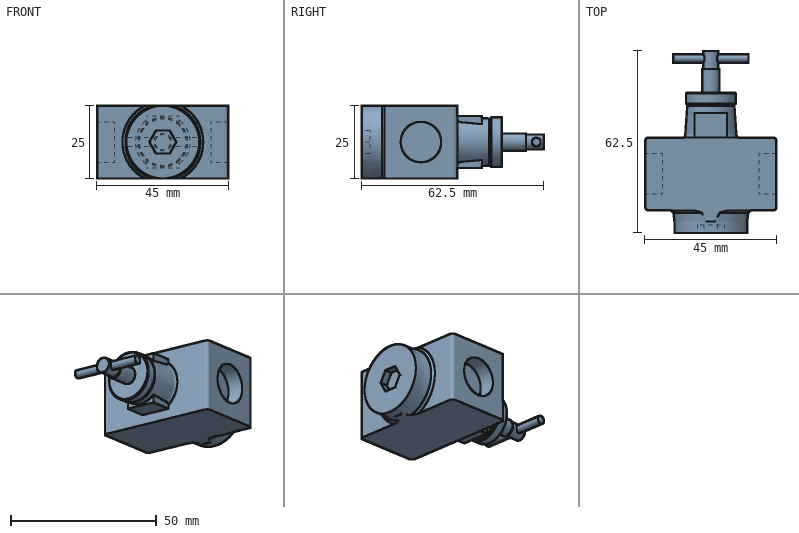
import cadquery as cq
import math

body_length = 45.0
body_width = 25.0
body_height = 25.0
body_corner_radius = 1.2
front_face = -body_width / 2
rear_face = body_width / 2

root_sag = 0.1

port_radius = 6.95
port_depth = 5.95

plug_length = 7.8
plug_rim_length = 4.0
plug_radius = 12.5
plug_base_radius = 12.9
plug_flare_radius = 13.9
plug_flare_length = 0.8
socket_across_flats = 8.0
socket_depth = 2.9

neck_foot_radius = 9.4
neck_foot_length = 0.9
neck_base_radius = 8.8
neck_top_radius = 8.1
neck_length = 10.9
pad_width = 11.1
pad_length = 8.45
pad_height = 17.9

groove_radius = 8.0
collar_start = 11.5
collar_end = 15.4
collar_radius = 8.55
collar_top_chamfer = 0.3
collar_bottom_chamfer = 0.2

stem_radius = 3.0
stem_shoulder = 23.5
stem_tip_radius = 2.6
stem_end = 29.7
handle_length = 25.9
handle_radius = 1.5
handle_offset = 27.05


def make_body():
    block = cq.Workplane("XY").box(body_length, body_width, body_height)
    return block.edges("|Z").fillet(body_corner_radius)


def revolve_about_y(profile):
    return profile.close().revolve(360, (0, 0, 0), (0, 1, 0))


def make_plug():
    flare_foot = (plug_flare_radius, front_face)
    flare_wall = (plug_base_radius, front_face - plug_flare_length)
    plug_end = front_face - plug_length
    profile = cq.Workplane("XY").moveTo(0, front_face).lineTo(*flare_foot)
    profile = (
        profile.sagittaArc(flare_wall, -root_sag)
        .lineTo(plug_radius, plug_end + plug_rim_length)
        .lineTo(plug_radius, plug_end)
        .lineTo(0, plug_end)
    )
    envelope = cq.Workplane("XY").box(body_length, 2 * (plug_length + body_width), body_height)
    return revolve_about_y(profile).intersect(envelope)


def make_socket():
    across_corners = socket_across_flats / math.cos(math.pi / 6)
    return (
        cq.Workplane("XZ", origin=(0, front_face - plug_length, 0))
        .polygon(6, across_corners)
        .extrude(-socket_depth)
    )


def make_neck():
    foot = (neck_foot_radius, rear_face)
    wall = (neck_base_radius, rear_face + neck_foot_length)
    profile = cq.Workplane("XY").moveTo(0, rear_face).lineTo(*foot)
    neck_end = rear_face + neck_length
    profile = (
        profile.sagittaArc(wall, root_sag)
        .lineTo(neck_top_radius, neck_end)
        .lineTo(0, neck_end)
    )
    envelope = cq.Workplane("XY").box(body_length, 2 * neck_end, pad_height)
    return revolve_about_y(profile).intersect(envelope)


def make_pads():
    pad_centre = (0, rear_face + pad_length / 2, 0)
    return cq.Workplane("XY", origin=pad_centre).box(pad_width, pad_length, pad_height)


def rear_cylinder(radius, start, end):
    """Cylinder on the main axis, between two distances behind the body."""
    return cq.Workplane("XZ", origin=(0, rear_face + start, 0)).circle(radius).extrude(start - end)


def make_collar():
    collar = rear_cylinder(collar_radius, collar_start, collar_end)
    collar = collar.faces(">Y").edges().chamfer(collar_top_chamfer)
    return collar.faces("<Y").edges().chamfer(collar_bottom_chamfer)


def make_handle():
    return (
        cq.Workplane("YZ", origin=(-handle_length / 2, rear_face + handle_offset, 0))
        .circle(handle_radius)
        .extrude(handle_length)
    )


def make_port(side):
    return (
        cq.Workplane("YZ", origin=(side * body_length / 2, 0, 0))
        .circle(port_radius)
        .extrude(-side * port_depth)
    )


result = make_body().union(make_plug()).union(make_neck()).union(make_pads())
result = result.union(rear_cylinder(groove_radius, neck_length, collar_start)).union(make_collar())
result = result.union(rear_cylinder(stem_radius, collar_end, stem_shoulder))
result = result.union(rear_cylinder(stem_tip_radius, stem_shoulder, stem_end)).union(make_handle())
result = result.cut(make_socket())
for side in (-1, 1):
    result = result.cut(make_port(side))

result = result.translate((0, (plug_length - stem_end) / 2, 0))